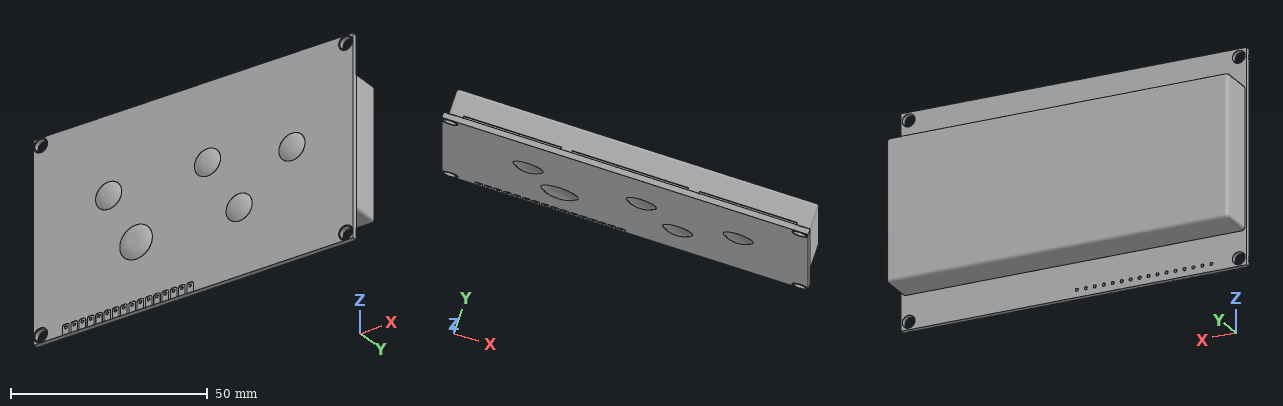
import cadquery as cq

BOARD_WIDTH = 98.0
BOARD_HEIGHT = 60.0
BOARD_THICKNESS = 1.55
BOARD_REAR = 0.0
BOARD_FRONT = BOARD_REAR - BOARD_THICKNESS
BOARD_LEFT = -BOARD_WIDTH / 2
BOARD_BOTTOM = -BOARD_HEIGHT / 2

COPPER_THICKNESS = 0.05
COPPER_FRONT = BOARD_FRONT - COPPER_THICKNESS

MOUNT_INSET = 2.25
MOUNT_HOLE_DIAMETER = 3.5
MOUNT_RING_DIAMETER = 4.2

PAD_COUNT = 16
PAD_PITCH = 2.54
PAD_WIDTH = 2.0
PAD_HEIGHT = 3.0
PAD_CORNER_RADIUS = 0.6
PAD_HOLE_DIAMETER = 0.8
PAD_HOLE_HEIGHT = 2.1
FIRST_PAD_INSET = 10.0
FIRST_PAD_X = BOARD_LEFT + FIRST_PAD_INSET

CASE_WIDTH = 97.0
CASE_HEIGHT = 40.0
CASE_DEPTH = 9.5
CASE_CENTER_X = 0.0
CASE_CENTER_Z = -0.4
CASE_FILLET = 1.0

WINDOW_HEIGHT = 3.0
WINDOW_DEPTH = 0.5
OUTER_WINDOW_WIDTH = 26.0
MIDDLE_WINDOW_WIDTH = 31.0
WINDOW_GAP = 3.0

DOME_HEIGHT = 1.0
SMALL_DOME_DIAMETER = 8.0
SMALL_DOME_FLAT_DIAMETER = 2.0
LARGE_DOME_DIAMETER = 10.0
LARGE_DOME_FLAT_DIAMETER = 4.0
SMALL_DOME_CENTERS = [(-25.9, 6.4), (4.4, 6.4), (30.3, 2.6), (14.1, -9.9)]
LARGE_DOME_CENTER = (-17.5, -9.9)


def cylinder_along_y(x, z, diameter, y_start, y_end):
    """Cylinder parallel to Y between two Y positions."""
    base = cq.Workplane("XZ", origin=(x, y_end, z))
    return base.circle(diameter / 2).extrude(y_end - y_start)


def make_board():
    board = cq.Workplane("XY").box(BOARD_WIDTH, BOARD_THICKNESS, BOARD_HEIGHT)
    return board.translate((0, BOARD_FRONT / 2, 0))


def make_case():
    case = cq.Workplane("XY").box(CASE_WIDTH, CASE_DEPTH, CASE_HEIGHT)
    case = case.edges("|Y or >Y").fillet(CASE_FILLET)
    case = case.translate((CASE_CENTER_X, CASE_DEPTH / 2, CASE_CENTER_Z))
    outer_offset = (MIDDLE_WINDOW_WIDTH + OUTER_WINDOW_WIDTH) / 2 + WINDOW_GAP
    windows = [
        (-outer_offset, OUTER_WINDOW_WIDTH),
        (0, MIDDLE_WINDOW_WIDTH),
        (outer_offset, OUTER_WINDOW_WIDTH),
    ]
    window_z = CASE_CENTER_Z + CASE_HEIGHT / 2 - WINDOW_DEPTH / 2
    for offset, width in windows:
        window = cq.Workplane("XY").box(width, WINDOW_HEIGHT, WINDOW_DEPTH)
        case = case.cut(window.translate((CASE_CENTER_X + offset, WINDOW_HEIGHT / 2, window_z)))
    return case


def make_dome(center, diameter, flat_diameter):
    """Dome whose curved flank runs smoothly into a small flat top."""
    x, z = center
    radius = diameter / 2
    flat_radius = flat_diameter / 2
    profile = (
        cq.Workplane("XY")
        .lineTo(0, -DOME_HEIGHT)
        .lineTo(flat_radius, -DOME_HEIGHT)
        .tangentArcPoint((radius, 0), relative=False)
        .close()
    )
    return profile.revolve(360, (0, 0, 0), (0, 1, 0)).translate((x, BOARD_FRONT, z))


def make_pad(x):
    """Copper pad, square at the board edge, with rounded upper corners."""
    pad = cq.Workplane("XY").box(PAD_WIDTH, COPPER_THICKNESS, PAD_HEIGHT)
    pad = pad.edges("|Y and >Z").fillet(PAD_CORNER_RADIUS)
    pad_y = BOARD_FRONT - COPPER_THICKNESS / 2
    return pad.translate((x, pad_y, BOARD_BOTTOM + PAD_HEIGHT / 2))


def add_mounting_holes(body):
    x_offset = BOARD_WIDTH / 2 - MOUNT_INSET
    z_offset = BOARD_HEIGHT / 2 - MOUNT_INSET
    for x in (-x_offset, x_offset):
        for z in (-z_offset, z_offset):
            body = body.union(cylinder_along_y(x, z, MOUNT_RING_DIAMETER, COPPER_FRONT, BOARD_FRONT))
            body = body.cut(cylinder_along_y(x, z, MOUNT_HOLE_DIAMETER, COPPER_FRONT, BOARD_REAR))
    return body


def add_connector_pads(body):
    hole_z = BOARD_BOTTOM + PAD_HOLE_HEIGHT
    for index in range(PAD_COUNT):
        x = FIRST_PAD_X + index * PAD_PITCH
        body = body.union(make_pad(x))
        body = body.cut(cylinder_along_y(x, hole_z, PAD_HOLE_DIAMETER, COPPER_FRONT, BOARD_REAR))
    return body


def add_domes(body):
    for center in SMALL_DOME_CENTERS:
        body = body.union(make_dome(center, SMALL_DOME_DIAMETER, SMALL_DOME_FLAT_DIAMETER))
    return body.union(make_dome(LARGE_DOME_CENTER, LARGE_DOME_DIAMETER, LARGE_DOME_FLAT_DIAMETER))


board = add_mounting_holes(make_board())
board = add_connector_pads(board)
board = add_domes(board)
result = board.union(make_case())